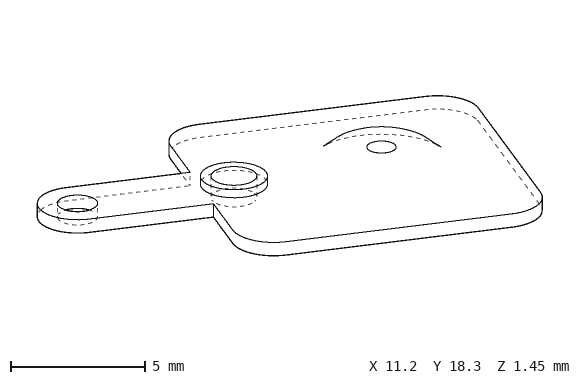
import cadquery as cq
import math

total_length = 18.34
plate_width = 11.2
plate_length = 12.0
plate_thickness = 0.55
corner_radius = 1.6
tab_width = 3.0
tab_hole_diameter = 1.5

collar_diameter = 2.51
collar_bore = 1.7
collar_height = 0.33

total_height = 1.45
dome_setback = 4.99
wall_angle = math.radians(40)
crown_flat_radius = 1.35
shoulder_radius = 1.0
foot_radius = 0.6
dish_outer_radius = 1.05
dish_floor_radius = 0.55
dish_lip_radius = 1.0

plate_back_y = total_length / 2
plate_front_y = plate_back_y - plate_length
tab_end_radius = tab_width / 2
tab_end_y = -total_length / 2 + tab_end_radius
collar_y = plate_front_y + collar_diameter / 2
dome_y = plate_back_y - dome_setback


def make_plate():
    """Rounded rectangular plate with a round-ended tab."""
    plate = (
        cq.Workplane("XY")
        .center(0, plate_back_y - plate_length / 2)
        .rect(plate_width, plate_length)
        .extrude(plate_thickness)
        .edges("|Z")
        .fillet(corner_radius)
    )
    tab = (
        cq.Workplane("XY")
        .moveTo(-tab_end_radius, collar_y)
        .lineTo(-tab_end_radius, tab_end_y)
        .threePointArc((0, -total_length / 2), (tab_end_radius, tab_end_y))
        .lineTo(tab_end_radius, collar_y)
        .close()
        .extrude(plate_thickness)
    )
    return plate.union(tab)


def make_dome():
    """Revolved dome: dish, flat rim, rounded shoulder, sloping wall and flared foot."""
    def arc_run(radius, angle):
        return radius * math.sin(angle)

    def arc_drop(radius, angle):
        return radius * (1 - math.cos(angle))

    half_angle = wall_angle / 2
    dish_angle = math.asin((dish_outer_radius - dish_floor_radius) / dish_lip_radius)
    dish_floor_z = total_height - arc_drop(dish_lip_radius, dish_angle)
    lip_middle = (
        dish_outer_radius - arc_run(dish_lip_radius, dish_angle / 2),
        total_height - arc_drop(dish_lip_radius, dish_angle / 2),
    )
    shoulder_middle = (
        crown_flat_radius + arc_run(shoulder_radius, half_angle),
        total_height - arc_drop(shoulder_radius, half_angle),
    )
    wall_top = (
        crown_flat_radius + arc_run(shoulder_radius, wall_angle),
        total_height - arc_drop(shoulder_radius, wall_angle),
    )
    wall_bottom_z = plate_thickness + arc_drop(foot_radius, wall_angle)
    wall_bottom_x = wall_top[0] + (wall_top[1] - wall_bottom_z) / math.tan(wall_angle)
    foot_x = wall_bottom_x + arc_run(foot_radius, wall_angle)
    foot_middle = (
        foot_x - arc_run(foot_radius, half_angle),
        plate_thickness + arc_drop(foot_radius, half_angle),
    )

    profile = (
        cq.Workplane("XZ")
        .lineTo(0, dish_floor_z)
        .lineTo(dish_floor_radius, dish_floor_z)
        .threePointArc(lip_middle, (dish_outer_radius, total_height))
        .lineTo(crown_flat_radius, total_height)
        .threePointArc(shoulder_middle, wall_top)
        .lineTo(wall_bottom_x, wall_bottom_z)
        .threePointArc(foot_middle, (foot_x, plate_thickness))
        .lineTo(foot_x, 0)
        .close()
    )
    return profile.revolve(360, (0, 0), (0, 1)).translate((0, dome_y, 0))


def make_cylinder(y, diameter, height):
    """Vertical cylinder on the part's centre line, rising from the underside."""
    return cq.Workplane("XY").center(0, y).circle(diameter / 2).extrude(height)


collar_top = plate_thickness + collar_height
result = (
    make_plate()
    .union(make_dome())
    .union(make_cylinder(collar_y, collar_diameter, collar_top))
    .cut(make_cylinder(collar_y, collar_bore, collar_top))
    .cut(make_cylinder(tab_end_y, tab_hole_diameter, plate_thickness))
)